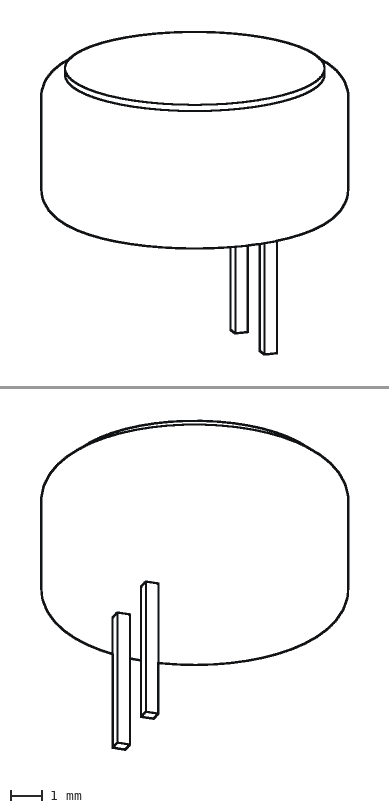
import cadquery as cq

housing_diameter = 9.7
housing_height = 4.49
face_diameter = 8.2
rim_radius = (housing_diameter - face_diameter) / 2

cover_diameter = face_diameter
cover_thickness = 0.2

pin_width = 0.43
pin_length = 4.5
pin_spacing = 2.54
pin_offset_y = 2.0


def make_housing():
    """Cylinder standing on Z = 0, rounded at the top and bottom rims."""
    cylinder = cq.Workplane("XY").circle(housing_diameter / 2).extrude(housing_height)
    return cylinder.edges("%CIRCLE").fillet(rim_radius)


def make_cover():
    """Thin disc lying on the flat top of the housing."""
    top = cq.Workplane("XY").workplane(offset=housing_height)
    return top.circle(cover_diameter / 2).extrude(cover_thickness)


def make_pin(center_x):
    """Square lead hanging from the flat bottom of the housing."""
    bottom = cq.Workplane("XY").center(center_x, pin_offset_y)
    return bottom.rect(pin_width, pin_width).extrude(-pin_length)


housing = make_housing()
cover = make_cover()
pins = [make_pin(side * pin_spacing / 2) for side in (-1, 1)]

result = cq.Compound.makeCompound([housing.val(), cover.val(), *[pin.val() for pin in pins]])